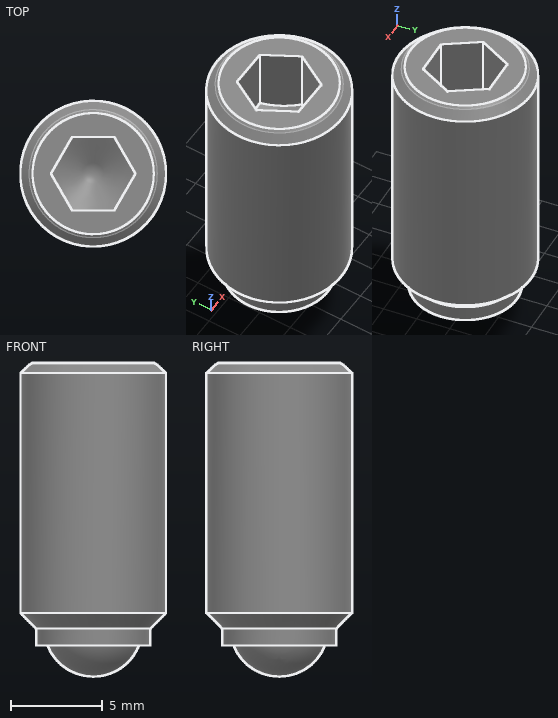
import cadquery as cq
import math

overall_length = 17.2
body_radius = 8.0 / 2

chamfer_height = 0.46
chamfer_top_radius = 3.51
bevel_height = 0.12
top_face_radius = 3.32

collar_radius = 3.13
collar_bottom = 1.7
collar_height = 0.93
taper_height = body_radius - collar_radius

hex_across_flats = 4.0
hex_depth = 4.0
drill_point_angle = 120.0

ball_radius = 2.7

collar_top = collar_bottom + collar_height
taper_top = collar_top + taper_height
bevel_bottom = overall_length - bevel_height
chamfer_bottom = bevel_bottom - chamfer_height


def make_ball():
    """Full ball that protrudes from the collar."""
    return cq.Workplane("XY").sphere(ball_radius).translate((0, 0, ball_radius))


def make_hex_socket():
    """Hexagonal prism whose lower end is trimmed to a drill-point cone."""
    hex_corner_radius = hex_across_flats / math.sqrt(3)
    cone_height = hex_corner_radius / math.tan(math.radians(drill_point_angle / 2))
    cone_rim = overall_length - hex_depth
    cone_tip = cone_rim - cone_height
    prism = (
        cq.Workplane("XY", origin=(0, 0, cone_tip))
        .polygon(6, 2 * hex_corner_radius)
        .extrude(overall_length - cone_tip)
    )
    drilled_space = (
        cq.Workplane("XZ")
        .moveTo(0, cone_tip)
        .lineTo(hex_corner_radius, cone_rim)
        .lineTo(hex_corner_radius, overall_length)
        .lineTo(0, overall_length)
        .close()
        .revolve(360, (0, 0), (0, 1))
    )
    return prism.intersect(drilled_space)


def make_housing(ball):
    """Turned sleeve with a hexagon socket on top and a ball seat below."""
    profile = [
        (0, collar_bottom),
        (collar_radius, collar_bottom),
        (collar_radius, collar_top),
        (body_radius, taper_top),
        (body_radius, chamfer_bottom),
        (chamfer_top_radius, bevel_bottom),
        (top_face_radius, overall_length),
        (0, overall_length),
    ]
    blank = cq.Workplane("XZ").polyline(profile).close().revolve(360, (0, 0), (0, 1))
    return blank.cut(make_hex_socket()).cut(ball)


ball = make_ball()
housing = make_housing(ball)

result = cq.Compound.makeCompound([housing.val(), ball.val()])